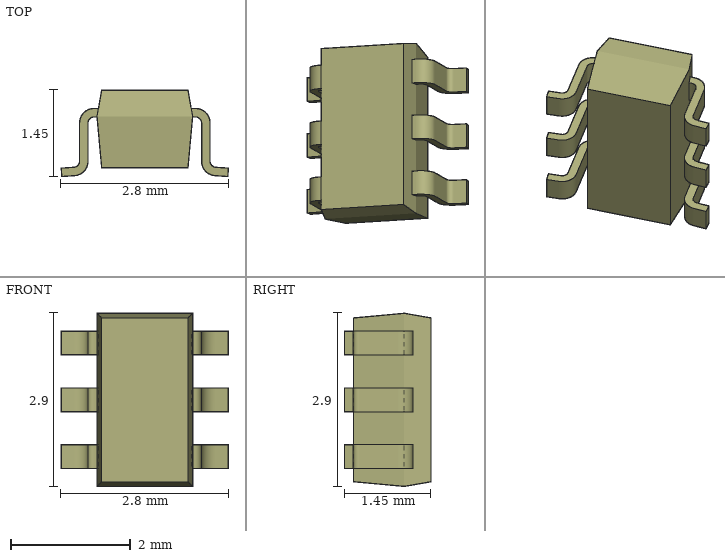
import cadquery as cq
import math

TOTAL_HEIGHT = 1.45
STANDOFF = 0.148
PARTING_HEIGHT = 1.003

HOUSING_WIDTH = 1.605
HOUSING_LENGTH = 2.9
DRAFT_INSET = 0.078

LEAD_SPAN = 2.8
LEAD_THICKNESS = 0.145
LEAD_WIDTH = 0.4
LEAD_PITCH = 0.95
LEADS_PER_SIDE = 3
SHOULDER_UNDERSIDE = 0.998
SHANK_INNER_X = 0.948
INNER_BEND_RADIUS = 0.1
OUTER_BEND_RADIUS = INNER_BEND_RADIUS + LEAD_THICKNESS
FOOT_ANGLE = math.radians(4)


def drafted_half(face_y):
    """Half of the housing, tapering from the parting plane to the flat face at face_y."""
    return (
        cq.Workplane("XZ", origin=(0, PARTING_HEIGHT, 0))
        .rect(HOUSING_WIDTH, HOUSING_LENGTH)
        .workplane(offset=PARTING_HEIGHT - face_y)
        .rect(HOUSING_WIDTH - 2 * DRAFT_INSET, HOUSING_LENGTH - 2 * DRAFT_INSET)
        .loft(ruled=True)
    )


def make_housing():
    """Both drafted halves as one moulded solid."""
    return drafted_half(STANDOFF).union(drafted_half(TOTAL_HEIGHT)).solids()


def on_arc(center, radius, angle):
    """Point on a circle at an angle measured from +X."""
    return (center[0] + radius * math.cos(angle), center[1] + radius * math.sin(angle))


def lead_profile():
    """Outline of a +X lead in the XY plane, with its root running in to x = 0."""
    shank_outer_x = SHANK_INNER_X + LEAD_THICKNESS
    shoulder_top = SHOULDER_UNDERSIDE + LEAD_THICKNESS

    toe_top = (LEAD_SPAN / 2, LEAD_THICKNESS * math.cos(FOOT_ANGLE))
    toe_bottom = (toe_top[0] - LEAD_THICKNESS * math.sin(FOOT_ANGLE), 0)

    shoulder_center = (SHANK_INNER_X - INNER_BEND_RADIUS, SHOULDER_UNDERSIDE - INNER_BEND_RADIUS)
    shoulder_middle = math.radians(45)

    foot_center_x = SHANK_INNER_X + OUTER_BEND_RADIUS
    underside_y = (toe_bottom[0] - foot_center_x) * math.tan(FOOT_ANGLE)
    foot_center_y = underside_y + OUTER_BEND_RADIUS / math.cos(FOOT_ANGLE)
    foot_center = (foot_center_x, foot_center_y)
    foot_end = math.radians(270) - FOOT_ANGLE
    foot_middle = (math.radians(180) + foot_end) / 2

    return (
        cq.Workplane("XY")
        .moveTo(0, shoulder_top)
        .lineTo(shoulder_center[0], shoulder_top)
        .threePointArc(
            on_arc(shoulder_center, OUTER_BEND_RADIUS, shoulder_middle),
            (shank_outer_x, shoulder_center[1]),
        )
        .lineTo(shank_outer_x, foot_center_y)
        .threePointArc(
            on_arc(foot_center, INNER_BEND_RADIUS, foot_middle),
            on_arc(foot_center, INNER_BEND_RADIUS, foot_end),
        )
        .lineTo(*toe_top)
        .lineTo(*toe_bottom)
        .lineTo(*on_arc(foot_center, OUTER_BEND_RADIUS, foot_end))
        .threePointArc(
            on_arc(foot_center, OUTER_BEND_RADIUS, foot_middle),
            (SHANK_INNER_X, foot_center_y),
        )
        .lineTo(SHANK_INNER_X, shoulder_center[1])
        .threePointArc(
            on_arc(shoulder_center, INNER_BEND_RADIUS, shoulder_middle),
            (shoulder_center[0], SHOULDER_UNDERSIDE),
        )
        .lineTo(0, SHOULDER_UNDERSIDE)
        .close()
    )


def make_lead(housing):
    """A +X lead centred on z = 0, its root trimmed to lie flat against the drafted housing wall."""
    return lead_profile().extrude(LEAD_WIDTH / 2, both=True).cut(housing).solids()


def make_leads(housing):
    """A row of leads down each long side of the housing, mirrored about x = 0."""
    right_lead = make_lead(housing)
    left_lead = right_lead.mirror("YZ")
    leads = []
    for index in range(LEADS_PER_SIDE):
        z = (index - (LEADS_PER_SIDE - 1) / 2) * LEAD_PITCH
        for lead in (left_lead, right_lead):
            leads.append(lead.translate((0, 0, z)).val())
    return leads


housing = make_housing()
leads = make_leads(housing)

result = cq.Compound.makeCompound([housing.val(), *leads])